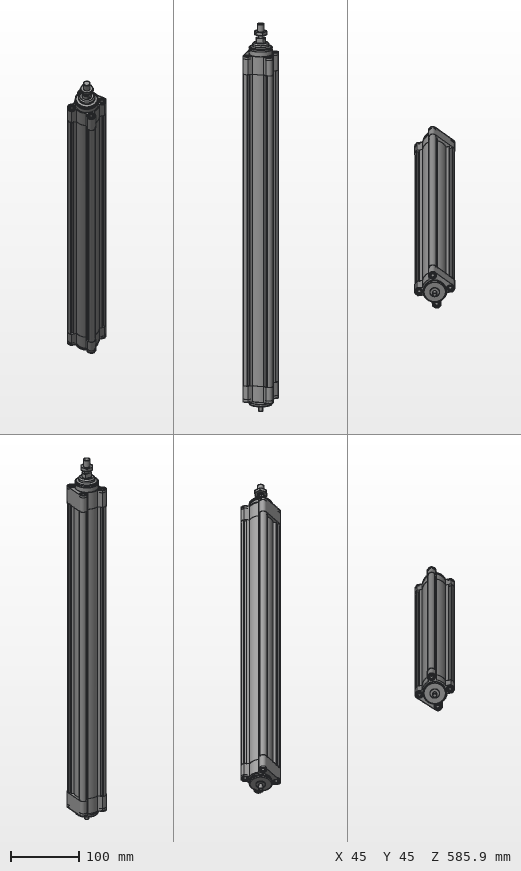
import cadquery as cq
import math

width = 45.0
overall_length = 585.9
rod_reach = 45.9
rear_reach = 17.6
front_cap_length = 27.0
rear_cap_length = 24.5
rear_face_z = rod_reach + rear_reach - overall_length
barrel_length = -rear_face_z - front_cap_length - rear_cap_length

half_width = width / 2
waist_radius = 18.6
waist_half_width = 8.0
waist_edge = math.sqrt(waist_radius**2 - waist_half_width**2)
post_inner = 13.5
cap_corner_radius = 5.3
post_pitch = 32.5

barrel_corner_radius = 6.5
slot_outer = 15.2
slot_inner = 11.4
slot_wall_end = 19.5
slot_floor = 17.8

recess_diameter = 10.5
head_diameter = 9.0
head_cone_diameter = 6.0
socket_diameter = 4.92
recess_depth = 4.0
head_drop = 1.0
socket_chamfer = (head_cone_diameter - socket_diameter) / 2
socket_depth = 12.0

collar_diameter = 34.0
groove_diameter = 32.0
front_step_diameter = 31.2
front_groove_bottom = 7.0
front_groove_top = 9.6
front_rim_top = 10.2
front_step_z = 11.3
front_cone_top = 12.5
wiper_diameter = 24.0
wiper_tip_diameter = 20.0
wiper_chamfer_bottom = 15.4
wiper_top = 17.6
rear_groove_length = 3.4
rear_collar_length = 7.4
rear_collar_chamfer = 1.4

shaft_boss_diameter = 14.0
shaft_boss_end = 8.6
shaft_diameter = 6.0
shaft_chamfer = 0.5

rod_diameter = 14.0
rod_flats = 10.0
rod_chamfer = 0.5
thread_diameter = 10.0
thread_tip_diameter = 8.47
neck_diameter = 7.19
thread_chamfer = (thread_diameter - thread_tip_diameter) / 2
thread_length = 17.4
shoulder_z = rod_reach - 21.3

nut_flats = 17.0
nut_height = 5.0
nut_top_z = rod_reach - 11.3
nut_chamfer_angle = 35.0


def turn(point, quarter):
    """Rotate a point about the axis by quarter turns."""
    x, y = point
    for _ in range(quarter):
        x, y = -y, x
    return x, y


def corner_middle(radius):
    """Midpoint of the rounded corner at +X, -Y."""
    reach = half_width - radius + radius * math.sqrt(0.5)
    return reach, -reach


def cap_section(z):
    """Four corner posts with hollowed sides between them; the +Y side is a full flat."""
    corner = half_width - cap_corner_radius
    flat_side = 2
    outline = cq.Workplane("XY").workplane(offset=z).moveTo(-corner, -half_width)
    for quarter in range(4):
        if quarter != flat_side:
            outline = outline.lineTo(*turn((-post_inner, -half_width), quarter))
            outline = outline.lineTo(*turn((-waist_half_width, -waist_edge), quarter))
            outline = outline.threePointArc(
                turn((0, -waist_radius), quarter),
                turn((waist_half_width, -waist_edge), quarter),
            )
            outline = outline.lineTo(*turn((post_inner, -half_width), quarter))
        outline = outline.lineTo(*turn((corner, -half_width), quarter))
        outline = outline.threePointArc(
            turn(corner_middle(cap_corner_radius), quarter),
            turn((half_width, -corner), quarter),
        )
    return outline.close()


def barrel_section(z):
    """Cap outline carried on, with a V-bottomed slot beside each rounded corner."""
    corner = half_width - barrel_corner_radius
    slot_run = slot_outer - corner
    slot_mouth = -corner - math.sqrt(barrel_corner_radius**2 - slot_run**2)
    slope = (half_width - waist_edge) / (post_inner - waist_half_width)
    slope_mouth = -waist_edge - slope * (slot_inner - waist_half_width)
    half_slot = [
        (slot_inner, slope_mouth),
        (slot_inner, -slot_wall_end),
        ((slot_inner + slot_outer) / 2, -slot_floor),
        (slot_outer, -slot_wall_end),
        (slot_outer, slot_mouth),
    ]
    outline = cq.Workplane("XY").workplane(offset=z).moveTo(-slot_outer, slot_mouth)
    for quarter in range(4):
        for x, y in reversed(half_slot[:-1]):
            outline = outline.lineTo(*turn((-x, y), quarter))
        outline = outline.lineTo(*turn((-waist_half_width, -waist_edge), quarter))
        outline = outline.threePointArc(
            turn((0, -waist_radius), quarter),
            turn((waist_half_width, -waist_edge), quarter),
        )
        for point in half_slot:
            outline = outline.lineTo(*turn(point, quarter))
        outline = outline.threePointArc(
            turn(corner_middle(barrel_corner_radius), quarter),
            turn((-slot_mouth, -slot_outer), quarter),
        )
    return outline.close()


def revolved(profile):
    """Solid of revolution about Z from (radius, z) points, closed along the axis."""
    return cq.Workplane("XZ").polyline(profile).close().revolve(360, (0, 0), (0, 1))


def screw_recess():
    """Ring around a sunk screw head and its threaded socket, opening at Z = 0 towards +Z."""
    return revolved([
        (0, 0),
        (recess_diameter / 2, 0),
        (recess_diameter / 2, -recess_depth),
        (head_diameter / 2, -recess_depth),
        (head_diameter / 2, -head_drop),
        (head_cone_diameter / 2, -head_drop),
        (socket_diameter / 2, -head_drop - socket_chamfer),
        (socket_diameter / 2, -socket_depth),
        (0, -socket_depth),
    ])


def at_posts(shape):
    """Copies of a shape on the four corner posts."""
    offset = post_pitch / 2
    return [shape.translate((x, y, 0)) for x in (-offset, offset) for y in (-offset, offset)]


def make_barrel():
    return barrel_section(-front_cap_length - barrel_length).extrude(barrel_length)


def make_front_cap():
    cap = cap_section(-front_cap_length).extrude(front_cap_length)
    cap = cap.union(revolved([
        (0, -front_cap_length),
        (collar_diameter / 2, -front_cap_length),
        (collar_diameter / 2, front_groove_bottom),
        (groove_diameter / 2, front_groove_bottom),
        (groove_diameter / 2, front_groove_top),
        (collar_diameter / 2, front_groove_top),
        (collar_diameter / 2, front_rim_top),
        (front_step_diameter / 2, front_step_z),
        (wiper_diameter / 2, front_cone_top),
        (wiper_diameter / 2, wiper_chamfer_bottom),
        (wiper_tip_diameter / 2, wiper_top),
        (0, wiper_top),
    ]))
    for recess in at_posts(screw_recess()):
        cap = cap.cut(recess)
    return cap.cut(rod_bar())


def make_rear_cap():
    cap = cap_section(rear_face_z).extrude(rear_cap_length)
    collar_end = rear_face_z - rear_collar_length
    boss_end = rear_face_z - rear_reach + shaft_boss_end
    shaft_end = rear_face_z - rear_reach
    cap = cap.union(revolved([
        (0, rear_face_z + rear_cap_length),
        (groove_diameter / 2, rear_face_z + rear_cap_length),
        (groove_diameter / 2, rear_face_z - rear_groove_length),
        (collar_diameter / 2, rear_face_z - rear_groove_length),
        (collar_diameter / 2, collar_end + rear_collar_chamfer),
        (collar_diameter / 2 - rear_collar_chamfer, collar_end),
        (shaft_boss_diameter / 2, collar_end),
        (shaft_boss_diameter / 2, boss_end),
        (shaft_diameter / 2, boss_end),
        (shaft_diameter / 2, shaft_end + shaft_chamfer),
        (shaft_diameter / 2 - shaft_chamfer, shaft_end),
        (0, shaft_end),
    ]))
    recess = screw_recess().mirror("XY").translate((0, 0, rear_face_z))
    for placed in at_posts(recess):
        cap = cap.cut(placed)
    return cap


def rod_bar():
    """Rod with two flats facing -X and +X, from the barrel end to its chamfered shoulder."""
    length = shoulder_z + front_cap_length
    bar = cq.Workplane("XY").workplane(offset=-front_cap_length).circle(rod_diameter / 2).extrude(length)
    bar = bar.faces(">Z").chamfer(rod_chamfer)
    flats_length = shoulder_z - wiper_top
    flats_z = wiper_top + flats_length / 2
    side_waste = (rod_diameter - rod_flats) / 2
    for side in (-1, 1):
        waste = cq.Workplane("XY").box(side_waste, rod_diameter, flats_length)
        bar = bar.cut(waste.translate((side * (rod_flats + side_waste) / 2, 0, flats_z)))
    return bar


def make_rod():
    """Rod bar with an undercut neck and a threaded end."""
    thread_start = rod_reach - thread_length
    return rod_bar().union(revolved([
        (0, 0),
        (neck_diameter / 2, 0),
        (neck_diameter / 2, thread_start),
        (thread_tip_diameter / 2, thread_start),
        (thread_diameter / 2, thread_start + thread_chamfer),
        (thread_diameter / 2, rod_reach - thread_chamfer),
        (thread_tip_diameter / 2, rod_reach),
        (0, rod_reach),
    ]))


def make_nut():
    """Hexagon nut with corners towards -Y and +Y and both ends bevelled."""
    across_corners = nut_flats / math.cos(math.radians(30))
    bottom_z = nut_top_z - nut_height
    bevel = (across_corners - nut_flats) / 2 * math.tan(math.radians(nut_chamfer_angle))
    nut = cq.Workplane("XY").workplane(offset=bottom_z).polygon(6, across_corners).extrude(nut_height)
    nut = nut.rotate((0, 0, 0), (0, 0, 1), 90)
    nut = nut.intersect(revolved([
        (0, bottom_z),
        (nut_flats / 2, bottom_z),
        (across_corners / 2, bottom_z + bevel),
        (across_corners / 2, nut_top_z - bevel),
        (nut_flats / 2, nut_top_z),
        (0, nut_top_z),
    ]))
    bore = cq.Workplane("XY").workplane(offset=bottom_z).circle(thread_diameter / 2).extrude(nut_height)
    return nut.cut(bore)


barrel = make_barrel()
front_cap = make_front_cap()
rear_cap = make_rear_cap()
rod = make_rod()
nut = make_nut()

result = cq.Compound.makeCompound([
    barrel.val(),
    front_cap.val(),
    rear_cap.val(),
    rod.val(),
    nut.val(),
])